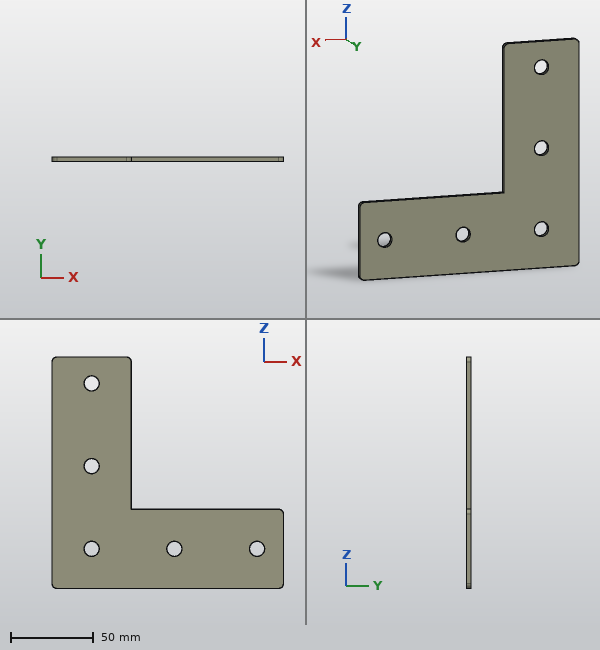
import cadquery as cq

leg_length = 140.0
leg_width = 48.0
thickness = 3.0
corner_radius = 3.0

hole_diameter = 9.0
hole_pitch = 50.0
holes_per_leg = 3


def make_plate():
    """L-shaped plate with rounded outer corners and a sharp inner corner."""
    outline = [
        (0, 0),
        (leg_length, 0),
        (leg_length, leg_width),
        (leg_width, leg_width),
        (leg_width, leg_length),
        (0, leg_length),
    ]
    plate = cq.Workplane("XZ").polyline(outline).close().extrude(-thickness)
    inner_corner = cq.selectors.NearestToPointSelector((leg_width, thickness / 2, leg_width))
    thickness_edges = cq.selectors.ParallelDirSelector(cq.Vector(0, 1, 0))
    outer_corners = cq.selectors.SubtractSelector(thickness_edges, inner_corner)
    return plate.edges(outer_corners).fillet(corner_radius)


def hole_centres():
    """Hole positions (x, z); the two legs share the hole at the corner."""
    leg_centre = leg_width / 2
    centres = [(leg_centre, leg_centre)]
    for i in range(1, holes_per_leg):
        along_leg = leg_centre + i * hole_pitch
        centres.append((along_leg, leg_centre))
        centres.append((leg_centre, along_leg))
    return centres


def make_holes():
    """Cylinders that pass through the full plate thickness."""
    return cq.Workplane("XZ").pushPoints(hole_centres()).circle(hole_diameter / 2).extrude(-thickness)


result = make_plate().cut(make_holes())